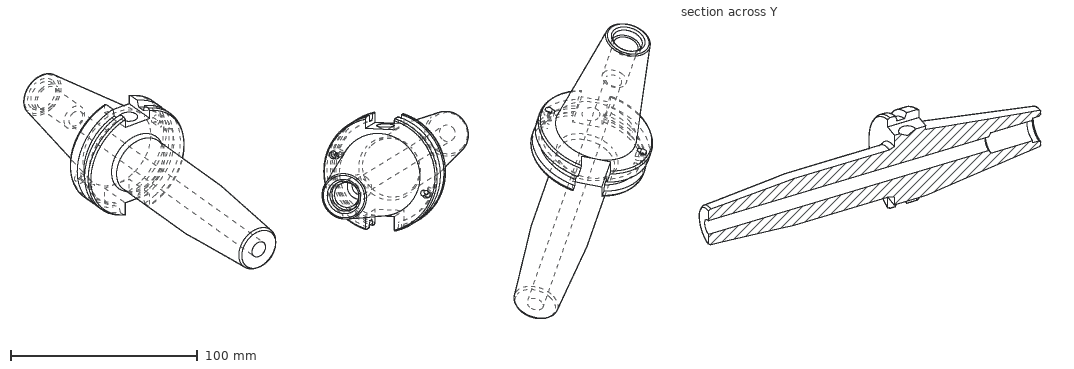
import cadquery as cq
import math

drill_half_angle = math.radians(59)

total_length = 198.2
taper_end = 68.0
flange_start = 68.5
flange_end = 87.5
neck_end = 90.5
nose_start = 147.3

taper_small_diameter = 24.5
taper_large_diameter = 44.8
flange_diameter = 63.2
neck_diameter = 34.3
stem_diameter = 32.0
nose_diameter = 24.4

taper_chamfer_length = 0.5
taper_chamfer_depth = 0.8
flange_chamfer_length = 1.4
flange_chamfer_depth = 0.8
nose_chamfer_length = 1.4
nose_chamfer_depth = 1.0

groove_center = 79.5
groove_floor_width = 4.4
groove_flank_length = 1.2
groove_diameter = 56.3

slot_width = 16.0
upper_slot_floor = 24.8
lower_slot_floor = 22.5
dimple_diameter = 9.5
dimple_depth = 2.8

coolant_angle = 20.0
coolant_diameter = 3.2
coolant_depth = 6.0
coolant_radial_position = 26.0
face_pocket_diameter = 4.2
face_pocket_radial_position = 27.5
face_pocket_depth = 3.0
groove_hole_diameter = 2.4
groove_hole_depth = 3.0
countersink_diameter = 4.0

bore_mouth_diameter = 18.6
bore_chamfer_length = 1.2
counterbore_diameter = 16.3
counterbore_depth = 5.0
thread_bore_diameter = 13.5
thread_bore_depth = 29.7
through_diameter = 9.0
drill_cone_length = (thread_bore_diameter - through_diameter) / 2 / math.tan(drill_half_angle)


def revolve_about_x(points):
    """Revolve a closed (x, radius) outline about the X axis."""
    return cq.Workplane("XY").polyline(points).close().revolve(360, (0, 0, 0), (1, 0, 0))


def make_body():
    taper_radius = taper_small_diameter / 2
    nose_radius = nose_diameter / 2
    flange_radius = flange_diameter / 2
    flange_edge_radius = flange_radius - flange_chamfer_depth
    taper_slope = (taper_large_diameter / 2 - taper_radius) / taper_end
    groove_half_floor = groove_floor_width / 2
    groove_half_mouth = groove_half_floor + groove_flank_length
    return revolve_about_x([
        (0, 0),
        (0, taper_radius - taper_chamfer_depth),
        (taper_chamfer_length, taper_radius + taper_slope * taper_chamfer_length),
        (taper_end, taper_large_diameter / 2),
        (flange_start, taper_large_diameter / 2),
        (flange_start, flange_edge_radius),
        (flange_start + flange_chamfer_length, flange_radius),
        (groove_center - groove_half_mouth, flange_radius),
        (groove_center - groove_half_floor, groove_diameter / 2),
        (groove_center + groove_half_floor, groove_diameter / 2),
        (groove_center + groove_half_mouth, flange_radius),
        (flange_end - flange_chamfer_length, flange_radius),
        (flange_end, flange_edge_radius),
        (flange_end, neck_diameter / 2),
        (neck_end, stem_diameter / 2),
        (nose_start, stem_diameter / 2),
        (total_length - nose_chamfer_length, nose_radius),
        (total_length, nose_radius - nose_chamfer_depth),
        (total_length, 0),
    ])


def make_bore():
    cone_end = thread_bore_depth + drill_cone_length
    return revolve_about_x([
        (0, 0),
        (0, bore_mouth_diameter / 2),
        (bore_chamfer_length, counterbore_diameter / 2),
        (counterbore_depth, counterbore_diameter / 2),
        (counterbore_depth, thread_bore_diameter / 2),
        (thread_bore_depth, thread_bore_diameter / 2),
        (cone_end, through_diameter / 2),
        (total_length, through_diameter / 2),
        (total_length, 0),
    ])


def make_slot(floor_distance, side):
    """Drive slot across the flange; side is +1 above the axis and -1 below."""
    length = flange_end - flange_start
    height = flange_diameter / 2
    center = ((flange_start + flange_end) / 2, 0, side * (floor_distance + height / 2))
    return cq.Workplane("XY").box(length, slot_width, height).translate(center)


def make_dimple():
    cone = cq.Solid.makeCone(
        dimple_diameter / 2, 0, dimple_depth,
        pnt=cq.Vector(groove_center, 0, upper_slot_floor), dir=cq.Vector(0, 0, -1),
    )
    return cq.Workplane(cone)


def make_coolant_holes(side):
    """Blind axial drilling with a shallow face pocket, and a countersunk hole in the groove floor."""
    angle = math.radians(coolant_angle)
    outward = cq.Vector(0, side * math.cos(angle), side * math.sin(angle))
    inward = outward * -1
    forward = cq.Vector(1, 0, 0)
    face = forward * flange_start
    axial = cq.Solid.makeCylinder(
        coolant_diameter / 2, coolant_depth,
        face + outward * coolant_radial_position, forward,
    )

    pocket = cq.Solid.makeCylinder(
        face_pocket_diameter / 2, face_pocket_depth,
        face + outward * face_pocket_radial_position, forward,
    )

    groove_floor = forward * groove_center + outward * (groove_diameter / 2)
    groove_hole = cq.Solid.makeCylinder(
        groove_hole_diameter / 2, groove_hole_depth, groove_floor, inward,
    )
    mouth_clearance = 0.2
    mouth_radius = countersink_diameter / 2 + mouth_clearance
    countersink = cq.Solid.makeCone(
        mouth_radius, 0, mouth_radius, groove_floor + outward * mouth_clearance, inward,
    )
    return [axial, pocket, groove_hole, countersink]


result = make_body().cut(make_bore())
result = result.cut(make_slot(upper_slot_floor, 1)).cut(make_slot(lower_slot_floor, -1))
result = result.cut(make_dimple())
for side in (1, -1):
    for hole in make_coolant_holes(side):
        result = result.cut(cq.Workplane(hole))